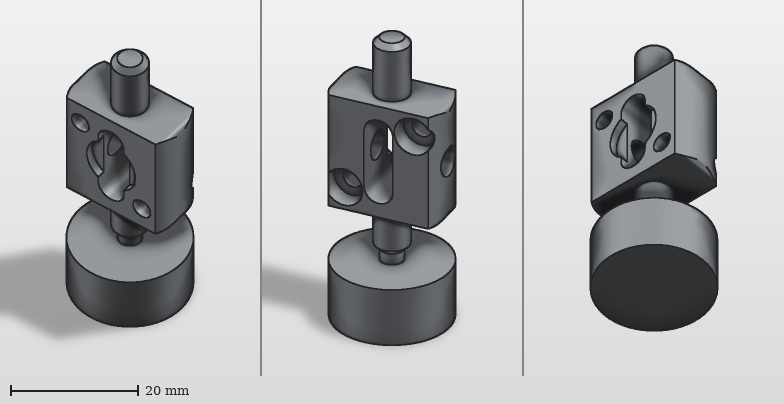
import cadquery as cq

body_diameter = 20
base_height = 10

overall_height = 50
pin_diameter = 6
pin_chamfer = 1
neck_diameter = 4
neck_top = base_height + 2

block_bottom = 20
block_height = 20
block_thickness = 10
block_edge_radius = 1
block_middle = block_bottom + block_height / 2
block_front = -block_thickness / 2

slot_width = 5
slot_length = 15
recess_diameter = 9.5
recess_depth = 1.5
side_hole_diameter = 5.05
side_hole_end = 5.5
screw_hole_diameter = 3.4
screw_head_diameter = 6.5
screw_head_depth = 3.4
screw_offset = 6


def cylinder(diameter, bottom, top):
    """Upright cylinder on the part axis."""
    return cq.Workplane("XY").workplane(offset=bottom).circle(diameter / 2).extrude(top - bottom)


def bore_along_y(diameter, x, z, y_start, y_end):
    """Cylinder parallel to Y between two Y positions."""
    start = cq.Vector(x, y_start, z)
    return cq.Workplane(
        cq.Solid.makeCylinder(diameter / 2, y_end - y_start, start, cq.Vector(0, 1, 0))
    )


def make_block():
    """Block with flat front and back, round sides and rounded upper and lower edges."""
    rounded_box = (
        cq.Workplane("XY")
        .box(body_diameter, block_thickness, block_height)
        .edges("|Y")
        .fillet(block_edge_radius)
        .translate((0, 0, block_middle))
    )
    return rounded_box.intersect(cylinder(body_diameter, block_bottom, block_bottom + block_height))


def cut_slot(block):
    """Upright through slot with a shallow round recess on the front face."""
    slot = (
        cq.Workplane("XZ")
        .center(0, block_middle)
        .slot2D(slot_length, slot_width, 90)
        .extrude(block_thickness / 2, both=True)
    )
    recess = bore_along_y(recess_diameter, 0, block_middle, block_front, block_front + recess_depth)
    return block.cut(slot).cut(recess)


def cut_side_hole(block):
    """Blind hole along X that crosses the slot and ends in the far wall."""
    hole = (
        cq.Workplane("YZ")
        .workplane(offset=-body_diameter / 2)
        .center(0, block_middle)
        .circle(side_hole_diameter / 2)
        .extrude(side_hole_end + body_diameter / 2)
    )
    return block.cut(hole)


def cut_screw_holes(block):
    """Two diagonally opposite through holes, counterbored from the back."""
    block_back = -block_front
    for side in (-1, 1):
        x = side * screw_offset
        z = block_middle - side * screw_offset
        hole = bore_along_y(screw_hole_diameter, x, z, block_front, block_back)
        head = bore_along_y(screw_head_diameter, x, z, block_back - screw_head_depth, block_back)
        block = block.cut(hole).cut(head)
    return block


block = cut_screw_holes(cut_side_hole(cut_slot(make_block())))
base = cylinder(body_diameter, 0, base_height)
neck = cylinder(neck_diameter, base_height, neck_top)
lower_pin = cylinder(pin_diameter, neck_top, block_bottom).faces("<Z").chamfer(pin_chamfer)
upper_pin = (
    cylinder(pin_diameter, block_bottom + block_height, overall_height).faces(">Z").chamfer(pin_chamfer)
)

result = base.union(neck).union(lower_pin).union(block).union(upper_pin)